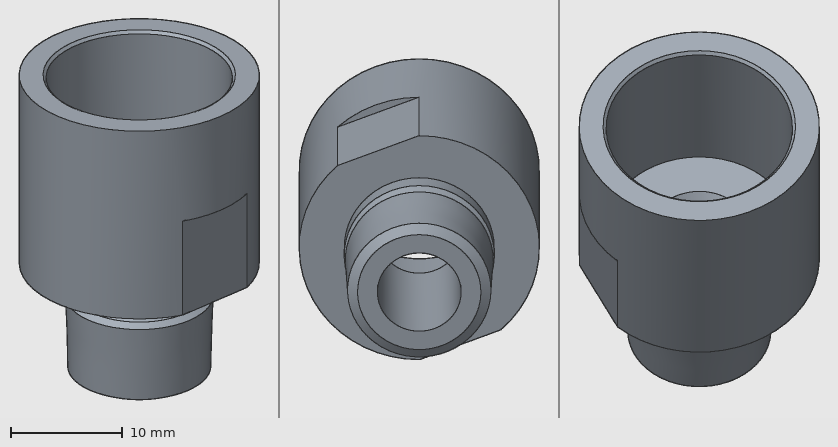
import cadquery as cq

total_height = 30.0
body_radius = 21.5 / 2
body_bottom = 10.98

flat_width = 20.05
flat_top = (body_bottom + total_height) / 2

collar_radius = 6.72
collar_bottom = 9.03
groove_radius = 5.67
groove_arc_top = 8.6
groove_arc_bottom = 8.1
groove_arc_edge_radius = 5.95
plug_top = 7.7
plug_top_radius = 6.63
plug_bottom = 0.5
plug_bottom_radius = 6.42
tip_radius = 5.52

socket_radius = 8.35
socket_depth = 15.0
socket_chamfer = 0.27
hole_radius = 3.75
hole_chamfer = 0.65


def make_outside():
    """Revolve the stepped outer profile about Z."""
    groove_middle = (groove_arc_top + groove_arc_bottom) / 2
    return (
        cq.Workplane("XZ")
        .lineTo(tip_radius, 0)
        .lineTo(plug_bottom_radius, plug_bottom)
        .lineTo(plug_top_radius, plug_top)
        .lineTo(groove_arc_edge_radius, groove_arc_bottom)
        .threePointArc((groove_radius, groove_middle), (groove_arc_edge_radius, groove_arc_top))
        .lineTo(collar_radius, collar_bottom)
        .lineTo(collar_radius, body_bottom)
        .lineTo(body_radius, body_bottom)
        .lineTo(body_radius, total_height)
        .lineTo(0, total_height)
        .close()
        .revolve(360, (0, 0), (0, 1))
    )


def make_bore():
    """Revolve the chamfered socket and through hole about Z."""
    floor = total_height - socket_depth
    return (
        cq.Workplane("XZ")
        .lineTo(hole_radius, 0)
        .lineTo(hole_radius, floor - hole_chamfer)
        .lineTo(hole_radius + hole_chamfer, floor)
        .lineTo(socket_radius, floor)
        .lineTo(socket_radius, total_height - socket_chamfer)
        .lineTo(socket_radius + socket_chamfer, total_height)
        .lineTo(0, total_height)
        .close()
        .revolve(360, (0, 0), (0, 1))
    )


def make_flat_cutter(side):
    """Block that cuts one wrench flat; side is -1 or +1 along X."""
    block_size = 2 * body_radius
    return (
        cq.Workplane("XY")
        .workplane(offset=body_bottom)
        .center(side * (flat_width + block_size) / 2, 0)
        .rect(block_size, block_size)
        .extrude(flat_top - body_bottom)
    )


result = make_outside().cut(make_bore())
for side in (-1, 1):
    result = result.cut(make_flat_cutter(side))